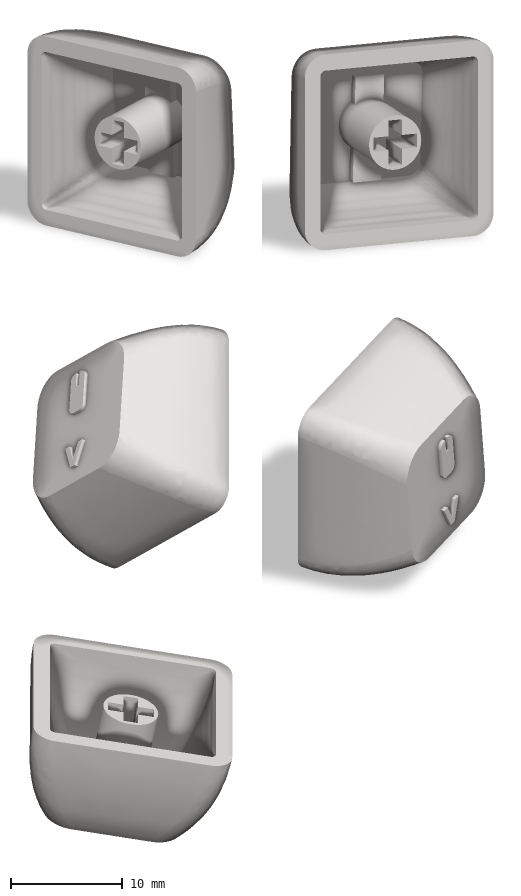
import cadquery as cq
import math

base_width = 18.1
base_corner_radius = 2.0
top_width = 12.7
top_corner_radius = 2.7
cap_height = 10.06
top_tilt = 4.0
wall = 1.5
section_count = 7

cavity_depth = cap_height - wall / math.cos(math.radians(top_tilt))
floor_width = 10.8
opening_width = base_width - 2 * wall
opening_corner_radius = base_corner_radius - wall
floor_corner_radius = top_corner_radius - wall

stem_diameter = 5.0
stem_setback = 1.0
stem_root = cavity_depth + wall / 2
cross_length = 4.2
cross_arm_width = 1.3
cross_depth = 4.0

plate_width = 2.75
plate_length = 9.95
plate_thickness = 0.9
plate_corner_radius = 0.15
plate_center = -0.24
legend_rise = 0.36
symbol_height = wall + legend_rise

capsule_width = 2.0
capsule_top = 4.53
capsule_bottom = 0.53
capsule_corner_radius = 0.6
capsule_slot_width = 0.44
capsule_slot_length = 1.35

v_width = 2.5
v_top = -2.74
v_bottom = -5.0
v_arm_width = 0.6
v_foot_width = 0.6
v_notch_rise = 0.7


def tilted_plane(height, tilt):
    """Plane across the cap's axis, with its local y pointing up along the tilted top."""
    angle = math.radians(tilt)
    normal = (0, math.cos(angle), math.sin(angle))
    return cq.Plane(origin=(0, height, 0), xDir=(-1, 0, 0), normal=normal)


def rounded_square(plane, width, radius):
    """Closed wire of straight sides and quarter-circle corners, centred on the plane's origin."""
    half = width / 2
    straight = half - radius
    mid_arc = straight + radius * math.sqrt(0.5)
    outline = (
        cq.Workplane(plane)
        .moveTo(-straight, -half)
        .lineTo(straight, -half)
        .threePointArc((mid_arc, -mid_arc), (half, -straight))
        .lineTo(half, straight)
        .threePointArc((mid_arc, mid_arc), (straight, half))
        .lineTo(-straight, half)
        .threePointArc((-mid_arc, mid_arc), (-half, straight))
        .lineTo(-half, -straight)
        .threePointArc((-mid_arc, -mid_arc), (-straight, -half))
        .close()
    )
    return outline.val()


def tapered_body(height, start_width, end_width, start_radius, end_radius):
    """Loft that leaves the rim straight and bends inwards along a parabola."""
    wires = []
    for index in range(section_count):
        step = index / (section_count - 1)
        bend = step ** 2
        width = start_width + (end_width - start_width) * bend
        radius = start_radius + (end_radius - start_radius) * bend
        plane = tilted_plane(height * step, top_tilt * step)
        wires.append(rounded_square(plane, width, radius))
    return cq.Workplane(cq.Solid.makeLoft(wires))


floor_plane = tilted_plane(cavity_depth, top_tilt)


def make_stem():
    front = cq.Workplane("XZ", origin=(0, stem_setback, 0))
    stem = front.circle(stem_diameter / 2).extrude(stem_setback - stem_root)
    for size in ((cross_length, cross_arm_width), (cross_arm_width, cross_length)):
        stem = stem.cut(front.rect(*size).extrude(-cross_depth))
    return stem


def make_capsule():
    length = capsule_top - capsule_bottom
    floor = cq.Workplane(floor_plane)
    outline = cq.Sketch().rect(capsule_width, length).vertices().fillet(capsule_corner_radius)
    body = (
        floor.center(0, (capsule_top + capsule_bottom) / 2)
        .placeSketch(outline)
        .extrude(symbol_height)
    )
    slot = (
        floor.center(0, capsule_top - capsule_slot_length / 2)
        .rect(capsule_slot_width, capsule_slot_length)
        .extrude(symbol_height)
    )
    return body.cut(slot)


def make_v():
    half = v_width / 2
    notch = half - v_arm_width
    foot = v_foot_width / 2
    points = [
        (-half, v_top), (-notch, v_top), (0, v_bottom + v_notch_rise), (notch, v_top),
        (half, v_top), (foot, v_bottom), (-foot, v_bottom),
    ]
    return cq.Workplane(floor_plane).polyline(points).close().extrude(symbol_height)


def make_legend():
    outline = cq.Sketch().rect(plate_width, plate_length).vertices().fillet(plate_corner_radius)
    plate = (
        cq.Workplane(floor_plane)
        .center(0, plate_center)
        .placeSketch(outline)
        .extrude(-plate_thickness)
    )
    return plate.union(make_capsule()).union(make_v())


def make_cap(legend):
    outside = tapered_body(cap_height, base_width, top_width, base_corner_radius, top_corner_radius)
    cavity = tapered_body(
        cavity_depth, opening_width, floor_width, opening_corner_radius, floor_corner_radius
    )
    return outside.cut(cavity).union(make_stem()).cut(legend)


legend = make_legend()
cap = make_cap(legend)
result = cq.Compound.makeCompound([cap.solids().val(), legend.solids().val()])